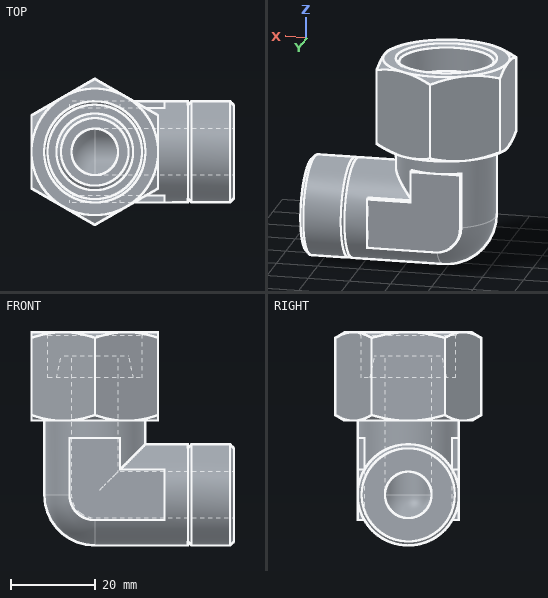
import cadquery as cq
import math

body_diameter = 24.0
body_radius = body_diameter / 2
bore_diameter = 11.0
axis_height = body_radius
total_height = 50.5

leg_end = 33.0
end_chamfer = 0.95
groove_start = 22.0
groove_width = 0.9

nut_flats = 30.0
nut_height = 20.95
nut_chamfer_angle = 30.0
nut_bottom = total_height - nut_height
socket_diameter = 22.35
mouth_diameter = 24.0

nose_diameter = 16.0
nose_base_diameter = 18.2
nose_depth = 5.6
nose_half_angle = 12.0

pad_width = body_radius
pad_top = 25.5
pad_end = 16.5


def elbow(diameter, top, end):
    """Vertical and horizontal cylinders joined by a sphere at the corner."""
    radius = diameter / 2
    corner = cq.Workplane("XY").sphere(radius)
    vertical = cq.Workplane("XY").circle(radius).extrude(top - axis_height)
    horizontal = cq.Workplane("YZ").circle(radius).extrude(end)
    return corner.union(vertical).union(horizontal).translate((0, 0, axis_height))


def groove():
    """Ring cut with a square wall on the body side and a 45 degree wall on the other."""
    return (
        cq.Workplane("XY")
        .moveTo(groove_start, body_radius)
        .lineTo(groove_start, body_radius - groove_width)
        .lineTo(groove_start + groove_width, body_radius)
        .close()
        .revolve(360, (0, 0), (1, 0))
        .translate((0, 0, axis_height))
    )


def side_pads():
    """L-shaped pads on both sides, flush with the body diameter."""
    half = pad_width / 2
    return (
        cq.Workplane("XZ")
        .moveTo(-half, pad_top)
        .lineTo(half, pad_top)
        .lineTo(half, axis_height + half)
        .lineTo(pad_end, axis_height + half)
        .lineTo(pad_end, axis_height - half)
        .lineTo(0, axis_height - half)
        .radiusArc((-half, axis_height), half)
        .close()
        .extrude(body_radius, both=True)
    )


def nut():
    """Hexagon with flats facing +X and -X and both ends chamfered conically."""
    corner_radius = nut_flats / 2 / math.cos(math.radians(30))
    drop = (corner_radius - nut_flats / 2) * math.tan(math.radians(nut_chamfer_angle))
    hexagon = (
        cq.Workplane("XY", origin=(0, 0, nut_bottom))
        .transformed(rotate=(0, 0, 30))
        .polygon(6, 2 * corner_radius)
        .extrude(nut_height)
    )
    envelope = (
        cq.Workplane("XZ")
        .moveTo(0, nut_bottom)
        .lineTo(nut_flats / 2, nut_bottom)
        .lineTo(corner_radius, nut_bottom + drop)
        .lineTo(corner_radius, total_height - drop)
        .lineTo(nut_flats / 2, total_height)
        .lineTo(0, total_height)
        .close()
        .revolve(360, (0, 0), (0, 1))
    )
    return hexagon.intersect(envelope)


def socket():
    """Space between the nut's inner wall and the tapered nose."""
    rim = total_height - nose_depth
    taper_height = (nose_base_diameter - nose_diameter) / 2 / math.tan(math.radians(nose_half_angle))
    floor = rim - taper_height
    mouth_chamfer = (mouth_diameter - socket_diameter) / 2
    return (
        cq.Workplane("XZ")
        .moveTo(0, rim)
        .lineTo(nose_diameter / 2, rim)
        .lineTo(nose_base_diameter / 2, floor)
        .lineTo(socket_diameter / 2, floor)
        .lineTo(socket_diameter / 2, total_height - mouth_chamfer)
        .lineTo(mouth_diameter / 2, total_height)
        .lineTo(0, total_height)
        .close()
        .revolve(360, (0, 0), (0, 1))
    )


body = elbow(body_diameter, nut_bottom, leg_end).faces(">X").edges().chamfer(end_chamfer)
body = body.union(side_pads()).cut(groove())
result = body.union(nut()).cut(socket()).cut(elbow(bore_diameter, total_height, leg_end))